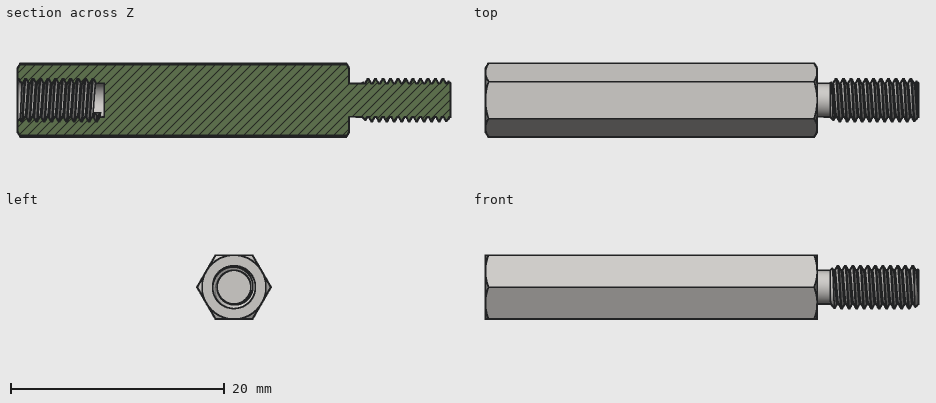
import cadquery as cq
import math

total_length = 40.5
body_length = 31.02
across_flats = 6.0
corner_chamfer_length = 0.3

stud_thread_turns = 11.8
major_diameter = 4.0
minor_radius = 1.58
crest_width = 0.1
root_width = 0.6
root_overlap = 0.05

neck_length = 1.2
bore_depth = 8.1
stud_turn_start = 80.0
bore_turn_start = 330.0

across_corners = across_flats / math.cos(math.radians(30))
face_radius = across_flats / 2
major_radius = major_diameter / 2
thread_depth = major_radius - minor_radius
thread_start = body_length + neck_length
pitch = (total_length - thread_start) / stud_thread_turns


def cylinder(radius, start, end):
    """Cylinder along X between two stations."""
    return cq.Workplane("YZ", origin=(start, 0, 0)).circle(radius).extrude(end - start)


def revolve_about_x(points):
    """Revolve an (X, radius) outline about the X axis."""
    return cq.Workplane("XY").polyline(points).close().revolve(360, (0, 0), (1, 0))


def helical_tooth(start, end, start_angle):
    """Right-hand trapezoidal ridge whose centreline runs from start to end."""
    inner_radius = minor_radius - root_overlap
    section = [
        (inner_radius, -root_width / 2),
        (major_radius, -crest_width / 2),
        (major_radius, crest_width / 2),
        (inner_radius, root_width / 2),
    ]
    edges = [
        cq.Wire.makeHelix(pitch, end - start, radius, cq.Vector(0, 0, offset))
        for radius, offset in section
    ]
    flanks = [cq.Face.makeRuledSurface(edges[i - 1], edges[i]) for i in range(len(edges))]
    caps = [
        cq.Face.makeFromWires(cq.Wire.makePolygon(
            [cq.Vector(*edge.positionAt(position).toTuple()) for edge in edges], close=True))
        for position in (0, 1)
    ]
    tooth = cq.Workplane(cq.Solid.makeSolid(cq.Shell.makeShell(flanks + caps)))
    tooth = tooth.rotate((0, 0, 0), (0, 1, 0), 90)
    tooth = tooth.rotate((0, 0, 0), (1, 0, 0), start_angle - 270)
    return tooth.translate((start, 0, 0))


def hex_body():
    """Hexagonal bar with flats up and down and both ends turned to a cone."""
    bar = cq.Workplane("YZ").polygon(6, across_corners).extrude(body_length)
    corner_radius = across_corners / 2
    turned_envelope = revolve_about_x([
        (0, 0),
        (0, face_radius),
        (corner_chamfer_length, corner_radius),
        (body_length - corner_chamfer_length, corner_radius),
        (body_length, face_radius),
        (body_length, 0),
    ])
    return bar.intersect(turned_envelope)


def threaded_stud():
    """Plain neck followed by an external thread chamfered at both ends."""
    core = cylinder(minor_radius, body_length, total_length)
    tooth = helical_tooth(thread_start - pitch, total_length + pitch, stud_turn_start)
    thread_envelope = revolve_about_x([
        (thread_start, 0),
        (thread_start, minor_radius),
        (thread_start + thread_depth, major_radius),
        (total_length - thread_depth, major_radius),
        (total_length, minor_radius),
        (total_length, 0),
    ])
    return core.union(tooth.intersect(thread_envelope))


def threaded_bore():
    """Cutters for a blind tapped hole and for the countersink at its mouth."""
    hole = cylinder(minor_radius, -2 * pitch, bore_depth)
    countersink = revolve_about_x([
        (0, 0),
        (0, major_radius),
        (thread_depth, minor_radius),
        (thread_depth, 0),
    ])
    groove = helical_tooth(-pitch, bore_depth - root_width, bore_turn_start)
    return hole.union(groove), countersink


tapped_hole, mouth = threaded_bore()
result = hex_body().cut(tapped_hole).cut(mouth).union(threaded_stud())